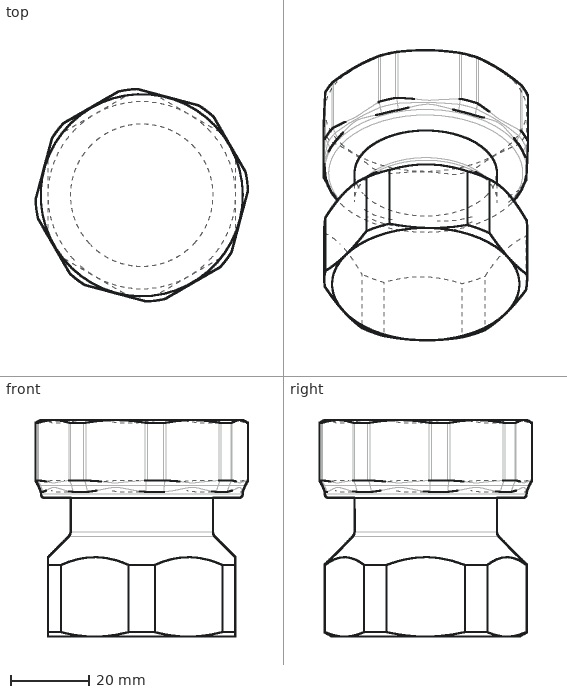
import cadquery as cq
import math

hex_sides = 6
hex_turn = 30.0
hex_across_flats = 48.0
hex_corner_radius = 26.0
hex_shoulder_height = 18.35
neck_radius = 18.25
neck_fillet = 1.7

nut_height = 20.0
nut_bottom = 35.5
nut_top = nut_bottom + nut_height
nut_sides = 8
nut_across_flats = 52.0
nut_corner_radius = 27.25
nut_turn = 7.5
nut_edge_fillet = 2.0
collar_radius = 25.87
collar_fillet = 1.0

transition_top = nut_bottom + 4.5
transition_middle = nut_bottom + 3.2
transition_bottom = nut_bottom + 1.55
transition_flat_rise = 0.64
transition_flat_drop = 0.5

chamfer_slope = math.tan(math.radians(30))


def polar(radius, degrees):
    angle = math.radians(degrees)
    return (radius * math.cos(angle), radius * math.sin(angle))


def rounded_polygon(sides, across_flats, corner_radius, bottom, top):
    """Prism with a corner on the X axis and corners rounded about the Z axis."""
    circumscribed = across_flats / math.cos(math.pi / sides)
    prism = cq.Workplane("XY").workplane(offset=bottom).polygon(sides, circumscribed).extrude(top - bottom)
    cylinder = cq.Workplane("XY").workplane(offset=bottom).circle(corner_radius).extrude(top - bottom)
    return prism.intersect(cylinder)


def revolved(points):
    """Solid of revolution about Z from (radius, height) points."""
    return cq.Workplane("XZ").polyline(points).close().revolve(360, (0, 0), (0, 1))


def make_adapter():
    """Solid adapter; its neck ends against the underside of the nut."""
    flat_radius = hex_across_flats / 2
    chamfer_height = (hex_corner_radius - flat_radius) * chamfer_slope
    cone_top = hex_shoulder_height + hex_corner_radius - neck_radius

    hexagon = rounded_polygon(hex_sides, hex_across_flats, hex_corner_radius, 0, nut_bottom)
    hexagon = hexagon.rotate((0, 0, 0), (0, 0, 1), hex_turn)
    envelope = revolved([
        (0, 0),
        (flat_radius, 0),
        (hex_corner_radius, chamfer_height),
        (hex_corner_radius, hex_shoulder_height),
        (neck_radius, cone_top),
        (neck_radius, nut_bottom),
        (0, nut_bottom),
    ])
    neck_corner = cq.NearestToPointSelector((0, 0, cone_top))
    envelope = envelope.edges(neck_corner).fillet(neck_fillet)
    return hexagon.intersect(envelope)


def bulged_octagon(height, flat_radius, corner_radius):
    """Closed outline of eight corner arcs joined by eight shallow arcs across the flats."""
    pitch = 360 / nut_sides
    half_flat = math.degrees(math.acos(nut_across_flats / 2 / nut_corner_radius))
    half_corner = pitch / 2 - half_flat
    outline = cq.Workplane("XY").workplane(offset=height).moveTo(*polar(corner_radius, -half_corner))
    for corner in range(nut_sides):
        angle = corner * pitch
        outline = outline.threePointArc(
            polar(corner_radius, angle),
            polar(corner_radius, angle + half_corner),
        )
        outline = outline.threePointArc(
            polar(flat_radius, angle + pitch / 2),
            polar(corner_radius, angle + pitch - half_corner),
        )
    return outline.close().val()


def make_transition():
    """Upper and lower lofts of the eight-lobed skirt that draws the octagon in to the collar."""
    flat_radius = nut_across_flats / 2
    middle_flat = (flat_radius + collar_radius) / 2
    middle_corner = (nut_corner_radius + collar_radius) / 2
    flat_step = flat_radius - middle_flat
    rise = transition_top - transition_middle
    drop = transition_middle - transition_bottom
    top_flat = middle_flat + flat_step * rise / transition_flat_rise
    bottom_flat = middle_flat - flat_step * drop / transition_flat_drop

    top = bulged_octagon(transition_top, top_flat, nut_corner_radius)
    middle = bulged_octagon(transition_middle, middle_flat, middle_corner)
    bottom = bulged_octagon(transition_bottom, bottom_flat, collar_radius)
    upper = cq.Workplane(cq.Solid.makeLoft([middle, top], True))
    lower = cq.Workplane(cq.Solid.makeLoft([bottom, middle], True))
    return upper, lower


def make_nut():
    """Solid octagonal nut with a chamfered top, a lobed skirt and a round collar."""
    octagon = rounded_polygon(nut_sides, nut_across_flats, nut_corner_radius, transition_middle, nut_top)
    octagon = octagon.edges("|Z").fillet(nut_edge_fillet)
    chamfer_height = (nut_corner_radius - collar_radius) * chamfer_slope
    octagon = octagon.intersect(revolved([
        (0, transition_middle),
        (nut_corner_radius, transition_middle),
        (nut_corner_radius, nut_top - chamfer_height),
        (collar_radius, nut_top),
        (0, nut_top),
    ]))

    upper, lower = make_transition()
    above = cq.Workplane("XY").workplane(offset=transition_top)
    above = above.circle(nut_corner_radius).extrude(nut_top - transition_top)
    octagon = octagon.intersect(upper.union(above))

    collar = cq.Workplane("XY").workplane(offset=nut_bottom).circle(collar_radius)
    collar = collar.extrude(transition_middle - nut_bottom).faces("<Z").edges().fillet(collar_fillet)
    nut = octagon.union(lower).union(collar)
    return nut.rotate((0, 0, 0), (0, 0, 1), nut_turn)


adapter = make_adapter()
nut = make_nut()

result = cq.Compound.makeCompound([adapter.solids().val(), nut.solids().val()])